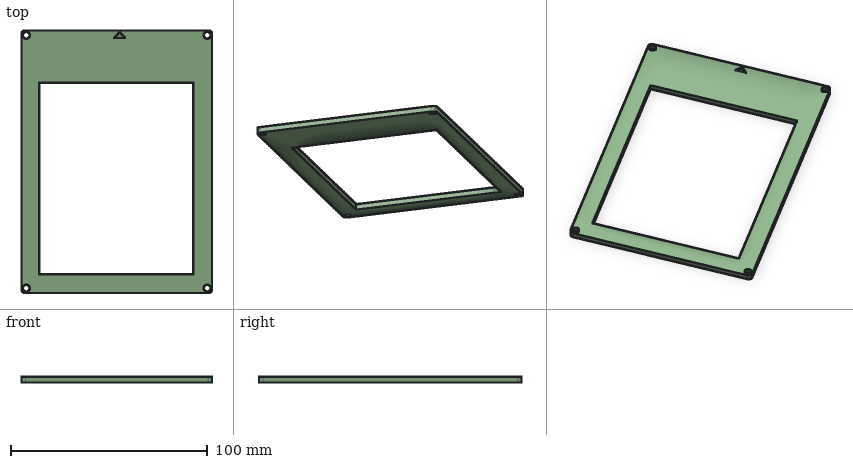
import cadquery as cq

plate_width = 97.07
plate_length = 133.71
plate_thickness = 3.0
corner_radius = 2.0

hole_diameter = 3.4
hole_edge_distance = 2.5

frame_left = 9.2
frame_right = 9.7
frame_bottom = 9.6
frame_top = 26.8

mark_width = 5.6
mark_height = 3.0
mark_depth = 1.0
mark_center_x = 1.47
mark_edge_distance = 0.9


def make_plate():
    """Flat plate with rounded vertical corners."""
    plate = cq.Workplane("XY").box(
        plate_width, plate_length, plate_thickness, centered=(True, True, False)
    )
    return plate.edges("|Z").fillet(corner_radius)


def make_holes():
    """Cylinders for the four through holes."""
    spacing_x = plate_width - 2 * hole_edge_distance
    spacing_y = plate_length - 2 * hole_edge_distance
    return (
        cq.Workplane("XY")
        .rect(spacing_x, spacing_y, forConstruction=True)
        .vertices()
        .circle(hole_diameter / 2)
        .extrude(plate_thickness)
    )


def make_window():
    """Block for the rectangular through window."""
    window_width = plate_width - frame_left - frame_right
    window_length = plate_length - frame_bottom - frame_top
    center_x = (frame_left - frame_right) / 2
    center_y = (frame_bottom - frame_top) / 2
    return (
        cq.Workplane("XY")
        .center(center_x, center_y)
        .rect(window_width, window_length)
        .extrude(plate_thickness)
    )


def make_mark():
    """Triangular prism for the blind direction mark."""
    tip_y = plate_length / 2 - mark_edge_distance
    base_y = tip_y - mark_height
    corners = [
        (mark_center_x - mark_width / 2, base_y),
        (mark_center_x + mark_width / 2, base_y),
        (mark_center_x, tip_y),
    ]
    floor = cq.Workplane("XY", origin=(0, 0, plate_thickness - mark_depth))
    return floor.polyline(corners).close().extrude(mark_depth)


result = make_plate().cut(make_window()).cut(make_holes()).cut(make_mark())